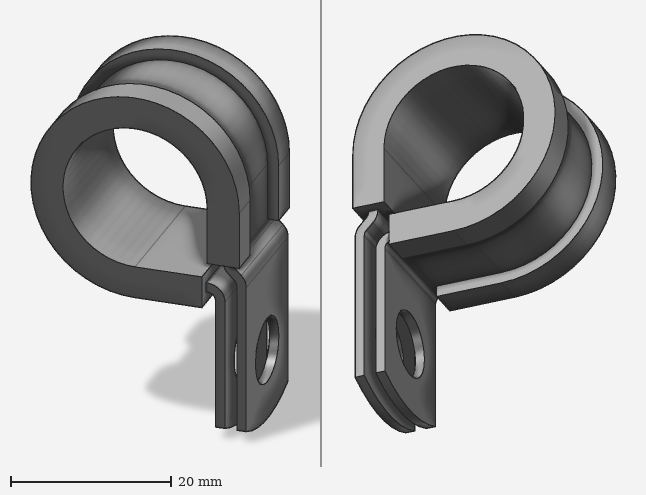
import cadquery as cq
import math

loop_radius = 13.8
cushion_thickness = 4.25
cushion_width = 18.9
groove_width = 10.75
groove_depth = 1.5
side_leg_end_z = -7.6
bottom_leg_end_x = 8.85

strap_thickness = 1.25
strap_width = 15.77
strap_outer = loop_radius - groove_depth
strap_inner = strap_outer - strap_thickness
bend_inner_radius = 1.0
bend_outer_radius = bend_inner_radius + strap_thickness
bend_mid_radius = bend_inner_radius + strap_thickness / 2

part_height = 46.25
tab_bottom_z = loop_radius - part_height
tip_sagitta = 1.7
near_tab_outer_x = 11.35
far_tab_outer_x = 14.15
jog_start_z = -7.7
jog_angle = math.radians(45)
hole_diameter = 8.75
hole_z = -23.0


def polar(center, radius, angle):
    """Point at the given radius and angle about a center."""
    return (center[0] + radius * math.cos(angle), center[1] + radius * math.sin(angle))


def loop_band(outer, inner, width):
    """Band around the loop, ending in a downward leg and a leg along +X."""
    center = (0, 0)
    arc_middle = math.radians(135)
    return (
        cq.Workplane("XZ")
        .moveTo(bottom_leg_end_x, -outer)
        .lineTo(0, -outer)
        .threePointArc(polar(center, outer, arc_middle), (outer, 0))
        .lineTo(outer, side_leg_end_z)
        .lineTo(inner, side_leg_end_z)
        .lineTo(inner, 0)
        .threePointArc(polar(center, inner, arc_middle), (0, -inner))
        .lineTo(bottom_leg_end_x, -inner)
        .close()
        .extrude(width / 2, both=True)
    )


def near_tab():
    """Strap end that leaves the bottom leg and turns down through a right angle."""
    center = (near_tab_outer_x - bend_outer_radius, -strap_inner - bend_outer_radius)
    return (
        cq.Workplane("XZ")
        .moveTo(bottom_leg_end_x, -strap_inner)
        .lineTo(center[0], -strap_inner)
        .threePointArc(polar(center, bend_outer_radius, math.pi / 4), polar(center, bend_outer_radius, 0))
        .lineTo(near_tab_outer_x, tab_bottom_z)
        .lineTo(near_tab_outer_x - strap_thickness, tab_bottom_z)
        .lineTo(*polar(center, bend_inner_radius, 0))
        .threePointArc(
            polar(center, bend_inner_radius, math.pi / 4), polar(center, bend_inner_radius, math.pi / 2)
        )
        .lineTo(bottom_leg_end_x, -strap_outer)
        .close()
        .extrude(strap_width / 2, both=True)
    )


def far_tab():
    """Strap end that leaves the side leg and jogs outward through two opposite bends."""
    offset = far_tab_outer_x - strap_outer
    sloped_run = offset - 2 * bend_mid_radius * (1 - math.cos(jog_angle))
    jog_height = 2 * bend_mid_radius * math.sin(jog_angle) + sloped_run / math.tan(jog_angle)
    upper = (strap_outer + bend_inner_radius, jog_start_z)
    lower = (far_tab_outer_x - bend_outer_radius, jog_start_z - jog_height)
    upper_end = math.pi + jog_angle
    upper_mid = math.pi + jog_angle / 2
    return (
        cq.Workplane("XZ")
        .moveTo(strap_outer, side_leg_end_z)
        .lineTo(strap_outer, jog_start_z)
        .threePointArc(
            polar(upper, bend_inner_radius, upper_mid), polar(upper, bend_inner_radius, upper_end)
        )
        .lineTo(*polar(lower, bend_outer_radius, jog_angle))
        .threePointArc(
            polar(lower, bend_outer_radius, jog_angle / 2), polar(lower, bend_outer_radius, 0)
        )
        .lineTo(far_tab_outer_x, tab_bottom_z)
        .lineTo(far_tab_outer_x - strap_thickness, tab_bottom_z)
        .lineTo(*polar(lower, bend_inner_radius, 0))
        .threePointArc(
            polar(lower, bend_inner_radius, jog_angle / 2), polar(lower, bend_inner_radius, jog_angle)
        )
        .lineTo(*polar(upper, bend_outer_radius, upper_end))
        .threePointArc(polar(upper, bend_outer_radius, upper_mid), (strap_inner, jog_start_z))
        .lineTo(strap_inner, side_leg_end_z)
        .close()
        .extrude(strap_width / 2, both=True)
    )


def tab_face():
    """Block with the tab outline: straight sides, an arched tip and a bolt hole."""
    half_width = strap_width / 2
    corner_z = tab_bottom_z + tip_sagitta
    return (
        cq.Workplane("YZ")
        .moveTo(-half_width, 0)
        .lineTo(-half_width, corner_z)
        .threePointArc((0, tab_bottom_z), (half_width, corner_z))
        .lineTo(half_width, 0)
        .close()
        .moveTo(0, hole_z)
        .circle(hole_diameter / 2)
        .extrude(far_tab_outer_x)
    )


loop_inner = loop_radius - cushion_thickness
cushion = loop_band(loop_radius, loop_inner, cushion_width)
groove = loop_band(loop_radius, strap_outer, groove_width)
tabs = near_tab().union(far_tab()).intersect(tab_face())

result = cushion.cut(groove).union(tabs)